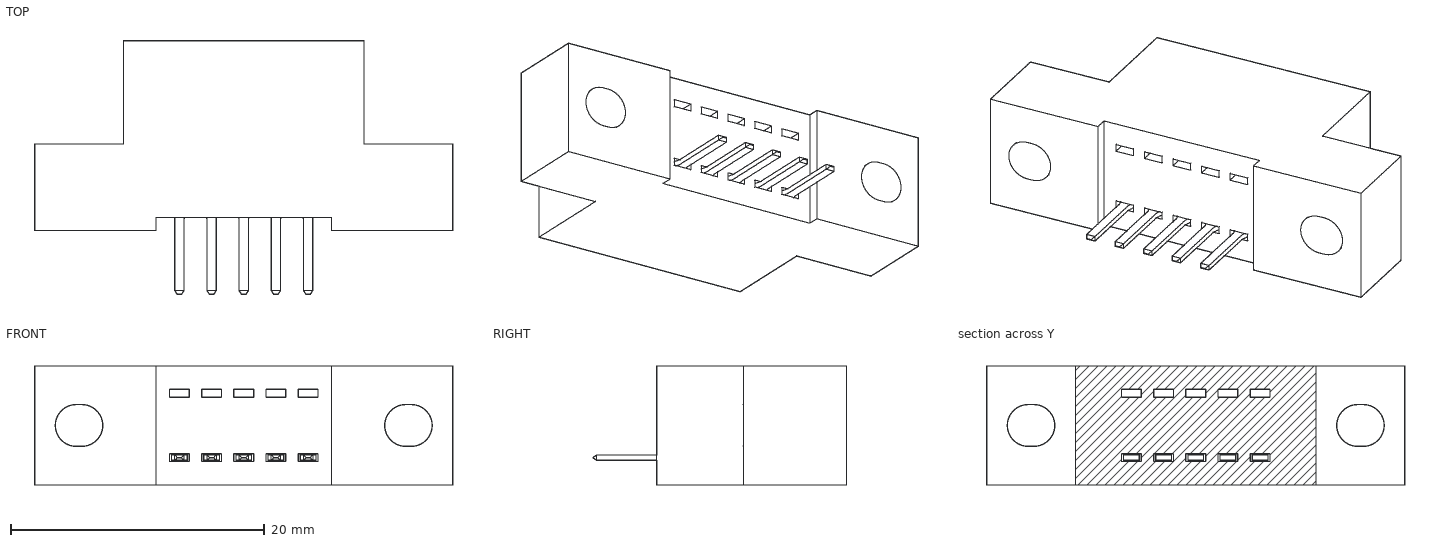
import cadquery as cq

housing_width = 33.02
housing_height = 9.4
housing_depth = 14.986
flange_depth = 6.84
nose_width = 19.0

recess_width = 13.84
recess_depth = 1.02

hole_spacing = 26.0
hole_width = 3.73
hole_height = 3.28

contact_count = 5
contact_pitch = 2.54
row_offset = 2.54
slot_width = 1.55
slot_height = 0.6

pin_projection = 5.034
pin_width = 0.75
pin_thickness = 0.42
tip_length = 0.3
tip_width = 0.36
tip_thickness = 0.06
blade_width = 1.26
blade_end = flange_depth
shoulder_protrusion = 0.1
shoulder_length = 0.8

contact_xs = [contact_pitch * (i - (contact_count - 1) / 2) for i in range(contact_count)]


def box_from(y_start, x_size, y_size, z_size):
    """Box centred on X and Z that runs toward +Y from y_start."""
    block = cq.Workplane("XY").box(x_size, y_size, z_size, centered=(True, False, True))
    return block.translate((0, y_start, 0))


def make_housing():
    flange = box_from(0, housing_width, flange_depth, housing_height)
    nose = box_from(0, nose_width, housing_depth, housing_height)
    recess = box_from(0, recess_width, recess_depth, housing_height)
    body = flange.union(nose).cut(recess)

    mounting_holes = (
        cq.Workplane("XZ")
        .pushPoints([(-hole_spacing / 2, 0), (hole_spacing / 2, 0)])
        .slot2D(hole_width, hole_height)
        .extrude(-flange_depth)
    )
    contact_slots = (
        cq.Workplane("XZ")
        .pushPoints([(x, z) for x in contact_xs for z in (-row_offset, row_offset)])
        .rect(slot_width, slot_height)
        .extrude(-housing_depth)
    )
    return body.cut(mounting_holes).cut(contact_slots)


def make_pin(x):
    """Flat blade inside the slot, tapering at its shoulders to a narrow tail with a pointed tip."""
    shoulder_front = recess_depth - shoulder_protrusion
    shoulder_back = shoulder_front + shoulder_length
    tip_back = tip_length - pin_projection
    half_tail = pin_width / 2
    half_blade = blade_width / 2

    shank = (
        cq.Workplane("XY")
        .moveTo(-half_tail, tip_back)
        .lineTo(half_tail, tip_back)
        .lineTo(half_tail, shoulder_front)
        .lineTo(half_blade, shoulder_back)
        .lineTo(half_blade, blade_end)
        .lineTo(-half_blade, blade_end)
        .lineTo(-half_blade, shoulder_back)
        .lineTo(-half_tail, shoulder_front)
        .close()
        .extrude(pin_thickness / 2, both=True)
    )
    tip = (
        cq.Workplane("XZ", origin=(0, tip_back, 0))
        .rect(pin_width, pin_thickness)
        .workplane(offset=tip_length)
        .rect(tip_width, tip_thickness)
        .loft(ruled=True)
    )
    return shank.union(tip).translate((x, 0, -row_offset))


housing = make_housing()
pins = [make_pin(x) for x in contact_xs]

result = cq.Compound.makeCompound([housing.val(), *[pin.val() for pin in pins]])